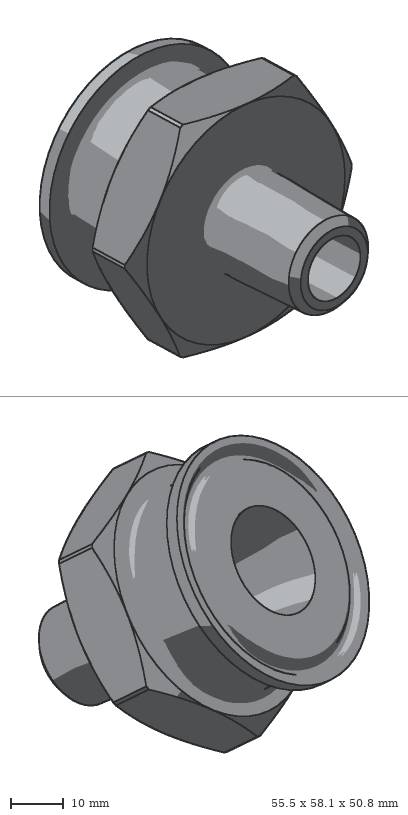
import cadquery as cq
import math


overall_length = 55.55
flange_rim_width = 2.8
nut_start = 17.15
nut_width = 13.45
nut_end = nut_start + nut_width
taper_start = 35.65
end_chamfer = 1.6
taper_end = overall_length - end_chamfer

flange_radius = 50.4 / 2
barrel_radius = 42.6 / 2
spigot_radius = 21.6 / 2
pipe_taper = 1 / 32
taper_end_radius = spigot_radius - pipe_taper * (taper_end - taper_start)
flange_back_angle = 20

flange_fillet = 1.45
nut_fillet = 1.45

nut_across_flats = 50.8
nut_across_corners = 58.15
nut_sides = 6
nut_chamfer_angle = 30
nut_chamfer_radius = 25.35

groove_middle_radius = 21.7
groove_bottom_round = 1.1
groove_lip_round = 0.8
groove_depth = 1.6
groove_flank_angle = 20

bore_inlet_diameter = 22.05
bore_outlet_diameter = 13.45
bore_cone_length = 27.35


def revolve_about_x(profile):
    return profile.revolve(360, (0, 0, 0), (1, 0, 0))


def turned_body():
    back_rise = (flange_radius - barrel_radius) * math.tan(math.radians(flange_back_angle))
    flange_back_foot = flange_rim_width + back_rise
    profile = (
        cq.Workplane("XY")
        .moveTo(0, 0)
        .lineTo(0, flange_radius)
        .lineTo(flange_rim_width, flange_radius)
        .lineTo(flange_back_foot, barrel_radius)
        .lineTo(nut_end, barrel_radius)
        .lineTo(nut_end, spigot_radius)
        .lineTo(taper_start, spigot_radius)
        .lineTo(taper_end, taper_end_radius)
        .lineTo(overall_length, taper_end_radius - end_chamfer)
        .lineTo(overall_length, 0)
        .close()
    )
    body = revolve_about_x(profile)
    reach = 0.05
    near_foot = cq.selectors.BoxSelector(
        (flange_back_foot - reach, -flange_radius, -flange_radius),
        (flange_back_foot + reach, flange_radius, flange_radius),
    )
    return body.edges(near_foot).fillet(flange_fillet)


def hex_nut():
    hexagon_diameter = nut_across_flats / math.cos(math.pi / nut_sides)
    prism = (
        cq.Workplane("YZ", origin=(nut_start, 0, 0))
        .polygon(nut_sides, hexagon_diameter)
        .extrude(nut_width)
    )
    corner_radius = nut_across_corners / 2
    chamfer_length = (corner_radius - nut_chamfer_radius) * math.tan(math.radians(nut_chamfer_angle))
    envelope = revolve_about_x(
        cq.Workplane("XY")
        .moveTo(nut_start, 0)
        .lineTo(nut_start, nut_chamfer_radius)
        .lineTo(nut_start + chamfer_length, corner_radius)
        .lineTo(nut_end - chamfer_length, corner_radius)
        .lineTo(nut_end, nut_chamfer_radius)
        .lineTo(nut_end, 0)
        .close()
    )
    return prism.intersect(envelope)


def nut_root_fillet(face_x, direction, shaft_radius):
    """Ring filling the corner between an end face of the nut and the round shaft beside it."""
    diagonal = nut_fillet * (1 - math.sqrt(0.5))
    return revolve_about_x(
        cq.Workplane("XY")
        .moveTo(face_x, shaft_radius)
        .lineTo(face_x, shaft_radius + nut_fillet)
        .threePointArc(
            (face_x + direction * diagonal, shaft_radius + diagonal),
            (face_x + direction * nut_fillet, shaft_radius),
        )
        .close()
    )


def gasket_groove():
    flank = math.radians(groove_flank_angle)
    lip_middle = (math.pi / 2 + flank) / 2
    bottom_centre = groove_depth - groove_bottom_round

    low_depth = bottom_centre + groove_bottom_round * math.sin(flank)
    low_offset = groove_bottom_round * math.cos(flank)

    high_depth = groove_lip_round * (1 - math.sin(flank))
    high_offset = low_offset + (low_depth - high_depth) * math.tan(flank)

    lip_centre_offset = high_offset + groove_lip_round * math.cos(flank)
    mid_depth = groove_lip_round * (1 - math.sin(lip_middle))
    mid_offset = lip_centre_offset - groove_lip_round * math.cos(lip_middle)

    middle = groove_middle_radius
    return revolve_about_x(
        cq.Workplane("XY")
        .moveTo(0, middle - lip_centre_offset)
        .threePointArc((mid_depth, middle - mid_offset), (high_depth, middle - high_offset))
        .lineTo(low_depth, middle - low_offset)
        .threePointArc((groove_depth, middle), (low_depth, middle + low_offset))
        .lineTo(high_depth, middle + high_offset)
        .threePointArc((mid_depth, middle + mid_offset), (0, middle + lip_centre_offset))
        .close()
    )


def tapered_bore():
    return revolve_about_x(
        cq.Workplane("XY")
        .lineTo(0, bore_inlet_diameter / 2)
        .lineTo(bore_cone_length, bore_outlet_diameter / 2)
        .lineTo(overall_length, bore_outlet_diameter / 2)
        .lineTo(overall_length, 0)
        .close()
    )


result = (
    turned_body()
    .union(hex_nut())
    .union(nut_root_fillet(nut_start, -1, barrel_radius))
    .union(nut_root_fillet(nut_end, 1, spigot_radius))
    .cut(gasket_groove())
    .cut(tapered_bore())
)